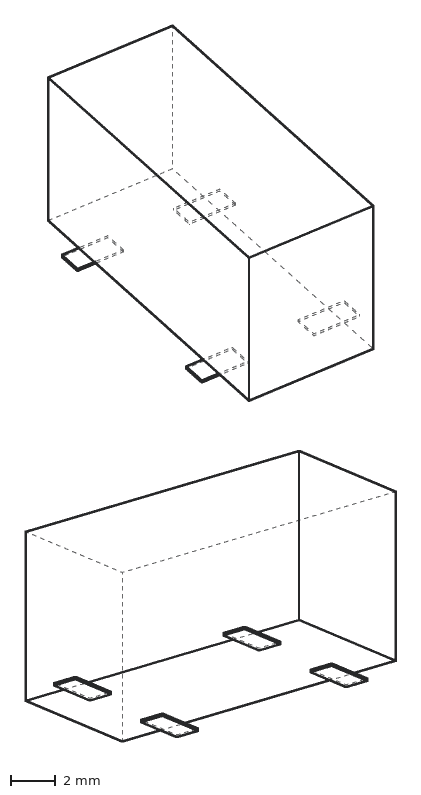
import cadquery as cq

body_length = 16.0
overall_width = 8.58
overall_height = 8.22

body_width = 6.75

terminal_thickness = 0.11
terminal_width = 1.25
terminal_length = 2.5
terminal_pitch = 9.9

body_height = overall_height - terminal_thickness
terminal_center_x = terminal_pitch / 2
terminal_center_y = (overall_width - terminal_length) / 2


def make_housing():
    """Plain block resting on top of the terminals."""
    return (
        cq.Workplane("XY")
        .workplane(offset=terminal_thickness)
        .rect(body_length, body_width)
        .extrude(body_height)
    )


def make_terminal(x, y):
    """Flat strip, partly under the housing and partly projecting past its long side."""
    return (
        cq.Workplane("XY")
        .center(x, y)
        .rect(terminal_width, terminal_length)
        .extrude(terminal_thickness)
    )


housing = make_housing()

terminals = []
for side_x in (-1, 1):
    for side_y in (-1, 1):
        terminal = make_terminal(side_x * terminal_center_x, side_y * terminal_center_y)
        terminals.append(terminal.val())

result = cq.Compound.makeCompound([housing.val(), *terminals])